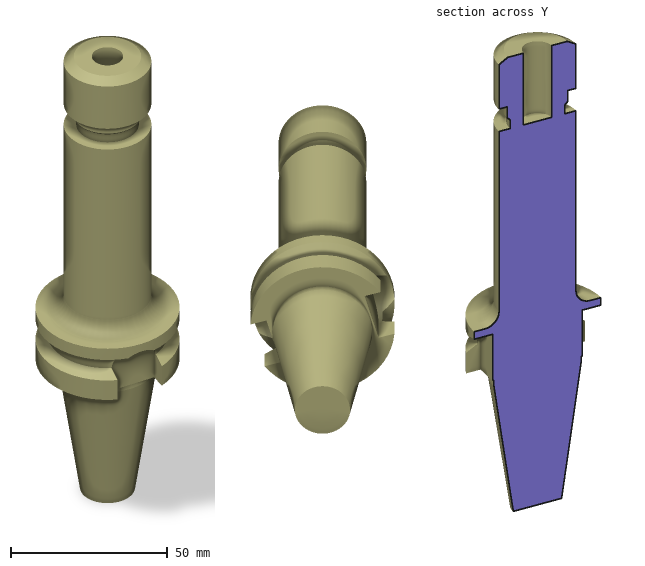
import cadquery as cq
import math


gauge_radius = 31.75 / 2
taper_length = 48.4
taper_ratio = 7 / 24
taper_end_radius = gauge_radius - taper_length * taper_ratio / 2

flange_radius = 23.0
flange_bottom_z = 2.0
flange_top_z = 22.0
groove_floor_radius = 19.25
groove_middle_z = 13.6
groove_mouth_width = 8.0
groove_wall_angle = math.radians(30)
groove_wall_height = (flange_radius - groove_floor_radius) * math.tan(groove_wall_angle)
groove_mouth_low_z = groove_middle_z - groove_mouth_width / 2
groove_mouth_high_z = groove_middle_z + groove_mouth_width / 2

slot_width = 16.1
slot_floor_x = 16.3
slot_arc_radius = slot_width / 2
slot_arc_middle_z = 11.0
slot_top_z = slot_arc_middle_z + slot_arc_radius

body_radius = 14.0
body_fillet_radius = 5.0
total_height = 120.0
nose_length = 26.5
body_top_z = total_height - nose_length

neck_radius = 10.0
collar_radius = 11.0
collar_chamfer = collar_radius - neck_radius
collar_length = 5.0
nut_radius = 14.0
nut_length = 18.4
nut_face_radius = 10.75
nut_chamfer_angle = math.radians(30)
nut_chamfer_height = (nut_radius - nut_face_radius) * math.tan(nut_chamfer_angle)
nut_bottom_z = total_height - nut_length
collar_bottom_z = nut_bottom_z - collar_length

bore_radius = 5.0
bore_depth = nose_length


def revolved_holder():
    """Solid of revolution from the taper end up to the nut face."""
    fillet_offset = body_fillet_radius * (1 - math.cos(math.radians(45)))
    profile = (
        cq.Workplane("XZ")
        .moveTo(0, -taper_length)
        .lineTo(taper_end_radius, -taper_length)
        .lineTo(gauge_radius, 0)
        .lineTo(gauge_radius, flange_bottom_z)
        .lineTo(flange_radius, flange_bottom_z)
        .lineTo(flange_radius, groove_mouth_low_z)
        .lineTo(groove_floor_radius, groove_mouth_low_z + groove_wall_height)
        .lineTo(groove_floor_radius, groove_mouth_high_z - groove_wall_height)
        .lineTo(flange_radius, groove_mouth_high_z)
        .lineTo(flange_radius, flange_top_z)
        .lineTo(body_radius + body_fillet_radius, flange_top_z)
        .threePointArc(
            (body_radius + fillet_offset, flange_top_z + fillet_offset),
            (body_radius, flange_top_z + body_fillet_radius),
        )
        .lineTo(body_radius, body_top_z)
        .lineTo(neck_radius, body_top_z)
        .lineTo(neck_radius, collar_bottom_z)
        .lineTo(collar_radius, collar_bottom_z + collar_chamfer)
        .lineTo(collar_radius, nut_bottom_z)
        .lineTo(nut_radius, nut_bottom_z)
        .lineTo(nut_radius, total_height - nut_chamfer_height)
        .lineTo(nut_face_radius, total_height)
        .lineTo(0, total_height)
        .close()
    )
    return profile.revolve(360, (0, 0, 0), (0, 1, 0))


def drive_slot(side):
    """Round-topped cutter for the slot on the +X (side = 1) or -X (side = -1) flank."""
    return (
        cq.Workplane("YZ", origin=(side * slot_floor_x, 0, 0))
        .moveTo(-slot_arc_radius, flange_bottom_z)
        .lineTo(slot_arc_radius, flange_bottom_z)
        .lineTo(slot_arc_radius, slot_arc_middle_z)
        .threePointArc((0, slot_top_z), (-slot_arc_radius, slot_arc_middle_z))
        .close()
        .extrude(side * (flange_radius - slot_floor_x))
    )


def collet_bore():
    """Cutter for the blind bore in the nut face."""
    return (
        cq.Workplane("XY", origin=(0, 0, total_height - bore_depth))
        .circle(bore_radius)
        .extrude(bore_depth)
    )


result = revolved_holder().cut(collet_bore())
for slot_side in (-1, 1):
    result = result.cut(drive_slot(slot_side))